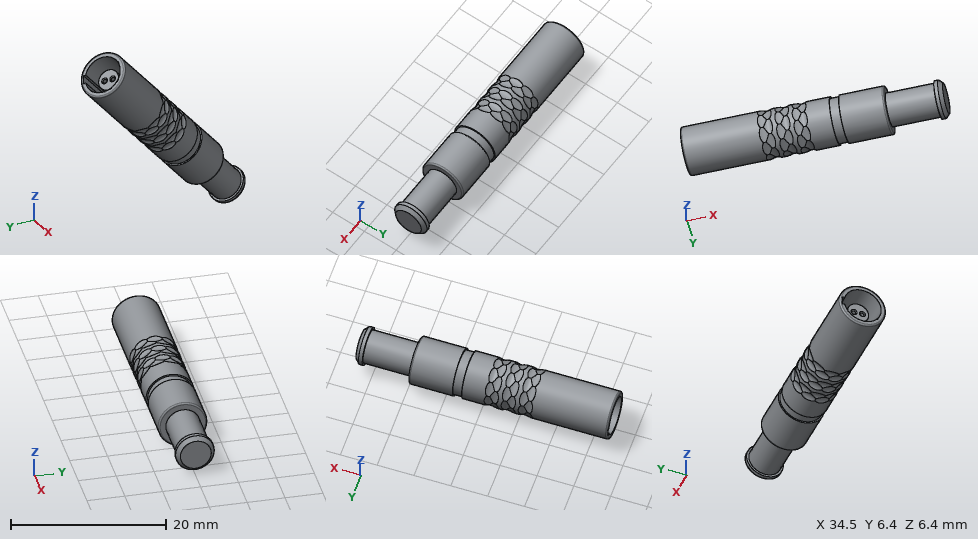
import cadquery as cq


total_length = 34.5
shell_length = 26.98
shell_radius = 3.2
shell_edge_fillet = 0.2
groove_start = 19.77
groove_end = 21.0
groove_radius = 3.0
stem_radius = 2.25
flange_start = 33.45
flange_radius = 2.55
flange_chamfer = 0.52

bore_radius = 2.55
bore_depth = 8.62
keyway_width = 1.15
keyway_reach = 2.83
insert_radius = 1.45
insert_face = 1.6
contact_offset = 0.6
contact_hole_radius = 0.28
contact_hole_depth = 1.72
countersink_radius = 0.4

band_count = 3
band_pitch = 2.3
first_band_start = 10.2
band_length = 1.85
facets_per_ring = 10
facet_length = 1.28
facet_depth = 0.2
facet_cut_width = 3.45


def cylinder_x(radius, start, end):
    """Solid cylinder about the X axis between two stations."""
    return cq.Workplane("YZ", origin=(start, 0, 0)).circle(radius).extrude(end - start)


def outer_body():
    shell = cylinder_x(shell_radius, 0, shell_length).edges().fillet(shell_edge_fillet)
    groove = cylinder_x(shell_radius, groove_start, groove_end).cut(
        cylinder_x(groove_radius, groove_start, groove_end)
    )
    stem = cylinder_x(stem_radius, shell_length, flange_start)
    flange = cylinder_x(flange_radius, flange_start, total_length)
    flange = flange.faces(">X").chamfer(flange_chamfer)
    return shell.cut(groove).union(stem).union(flange)


def socket_cavity():
    """Annular cavity around the insert, with a keyway along the +Y side."""
    keyway = cq.Workplane("XY").box(
        bore_depth, keyway_reach, keyway_width, centered=(False, False, True)
    )
    insert = cylinder_x(insert_radius, insert_face, bore_depth)
    return cylinder_x(bore_radius, 0, bore_depth).union(keyway).cut(insert)


def contact_hole(y):
    """Blind contact hole in the insert face with a 45 degree countersink."""
    countersink_depth = countersink_radius - contact_hole_radius
    profile = [
        (insert_face, 0),
        (insert_face, countersink_radius),
        (insert_face + countersink_depth, contact_hole_radius),
        (insert_face + contact_hole_depth, contact_hole_radius),
        (insert_face + contact_hole_depth, 0),
    ]
    hole = cq.Workplane("XY").polyline(profile).close().revolve(360, (0, 0, 0), (1, 0, 0))
    return hole.translate((0, y, 0))


def facet_ring(x, first_angle):
    """Ring of cylindrical scoops, each lying across the shell at station x."""
    scoop_radius = ((facet_length / 2) ** 2 + facet_depth**2) / (2 * facet_depth)
    scoop_height = shell_radius - facet_depth + scoop_radius
    scoop = (
        cq.Workplane("XZ", origin=(x, facet_cut_width / 2, scoop_height))
        .circle(scoop_radius)
        .extrude(facet_cut_width)
    )
    step = 360 / facets_per_ring
    return [
        scoop.rotate((0, 0, 0), (1, 0, 0), first_angle + i * step).val()
        for i in range(facets_per_ring)
    ]


def grip_cutters():
    half_step = 180 / facets_per_ring
    cutters = []
    for i in range(band_count):
        band_start = first_band_start + i * band_pitch
        band_end = band_start + band_length
        cutters += facet_ring(band_start + facet_length / 2, 0)
        cutters += facet_ring(band_end - facet_length / 2, half_step)
    return cutters


body = outer_body().cut(socket_cavity())
for side in (-1, 1):
    body = body.cut(contact_hole(side * contact_offset))
result = cq.Workplane(body.val().cut(*grip_cutters()))